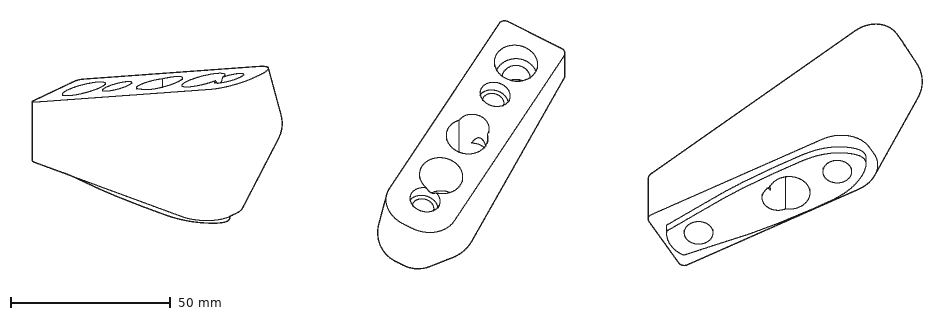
import cadquery as cq
import math

WIDTH = 23.0
SLOPE_ANGLE = 20.0
SLOPE_LENGTH = 90.0
END_LENGTH = 20.0
BASE_LENGTH = 74.6
BACK_HEIGHT = 20.0
NOSE_FILLET = 10.0
BACK_FILLET = 2.0

PLATE_HEIGHT = 3.0
PLATE_BACK_X = 2.45
PLATE_BACK_RADIUS = 10.0
PLATE_BACK_HALF_WIDTH = 5.5
PLATE_WIDE_X = 50.0
PLATE_HALF_WIDTH = 9.2
PLATE_TIP_X = 72.1

BOLT_XS = (12.5, 62.25)
BOLT_DIAMETER = 9.0
BOLT_HEAD_DIAMETER = 13.5
BOLT_SEAT_Z = 13.0

KEYHOLE_LOBES = ((41.0, 10.0), (45.0, 13.0))

SLOPE_HOLE_DISTANCES = (28.0, 77.6)
SLOPE_HOLE_DIAMETER = 6.8
SLOPE_HOLE_DEPTH = 25.0
SLOPE_BORE_DIAMETER = 9.5
SLOPE_BORE_DEPTH = 4.0

SIN = math.sin(math.radians(SLOPE_ANGLE))
COS = math.cos(math.radians(SLOPE_ANGLE))
SLOPE_START_Z = PLATE_HEIGHT + BACK_HEIGHT
PEAK_X = SLOPE_LENGTH * COS
PEAK_Z = SLOPE_START_Z + SLOPE_LENGTH * SIN
NOSE_X = PEAK_X + END_LENGTH * SIN
NOSE_Z = PEAK_Z - END_LENGTH * COS


def body():
    """Wedge with lightly rounded rear corners and a fully rounded nose."""
    wedge = (
        cq.Workplane("XZ", origin=(0, WIDTH / 2, 0))
        .moveTo(0, PLATE_HEIGHT)
        .lineTo(BASE_LENGTH, PLATE_HEIGHT)
        .lineTo(NOSE_X, NOSE_Z)
        .lineTo(PEAK_X, PEAK_Z)
        .lineTo(0, SLOPE_START_Z)
        .close()
        .extrude(WIDTH)
    )
    wedge = wedge.edges("|Z").fillet(BACK_FILLET)

    half = WIDTH / 2
    lower_mid = ((BASE_LENGTH + NOSE_X) / 2, (PLATE_HEIGHT + NOSE_Z) / 2)
    end_mid = ((PEAK_X + NOSE_X) / 2, (PEAK_Z + NOSE_Z) / 2)
    nose_points = [(NOSE_X, 0, NOSE_Z)]
    for x, z in (lower_mid, end_mid):
        nose_points += [(x, -half, z), (x, half, z)]
    nose_edges = cq.Workplane().newObject([])
    for point in nose_points:
        nose_edges = nose_edges.add(wedge.edges(cq.selectors.NearestToPointSelector(point)))
    rounded = wedge.val().fillet(NOSE_FILLET, nose_edges.vals())
    return cq.Workplane(rounded)


def plate():
    """Egg-shaped plate: arced back, then one smooth curve along the sides and around the tip."""
    sagitta = PLATE_BACK_RADIUS - math.sqrt(PLATE_BACK_RADIUS**2 - PLATE_BACK_HALF_WIDTH**2)
    corner_x = PLATE_BACK_X + sagitta
    back_half = PLATE_BACK_HALF_WIDTH
    tip_length = PLATE_TIP_X - PLATE_WIDE_X
    shoulder_fraction = 0.8
    shoulder_x = PLATE_WIDE_X + shoulder_fraction * tip_length
    shoulder_half = PLATE_HALF_WIDTH * math.sqrt(1 - shoulder_fraction**2)
    middle_x = (corner_x + PLATE_WIDE_X) / 2
    middle_half = PLATE_HALF_WIDTH - (PLATE_HALF_WIDTH - back_half) / 4
    outline = [
        (middle_x, middle_half),
        (PLATE_WIDE_X, PLATE_HALF_WIDTH),
        (shoulder_x, shoulder_half),
        (PLATE_TIP_X, 0),
        (shoulder_x, -shoulder_half),
        (PLATE_WIDE_X, -PLATE_HALF_WIDTH),
        (middle_x, -middle_half),
        (corner_x, -back_half),
    ]
    return (
        cq.Workplane("XY")
        .moveTo(corner_x, back_half)
        .spline(outline, includeCurrent=True)
        .threePointArc((PLATE_BACK_X, 0), (corner_x, back_half))
        .close()
        .extrude(PLATE_HEIGHT)
    )


def vertical_cylinder(x, diameter, bottom_z):
    """Upright cylinder on the centre plane, from bottom_z to the height of the peak."""
    return (
        cq.Workplane("XY", origin=(x, 0, bottom_z))
        .circle(diameter / 2)
        .extrude(PEAK_Z - bottom_z)
    )


def slope_cylinder(distance, diameter, depth):
    """Cylinder sunk square into the upper face at a distance along the slope."""
    slope_point = (distance * COS, 0, SLOPE_START_Z + distance * SIN)
    plane = cq.Plane(origin=slope_point, xDir=(COS, 0, SIN), normal=(-SIN, 0, COS))
    return cq.Workplane(plane).circle(diameter / 2).extrude(-depth)


result = body().union(plate())

for bolt_x in BOLT_XS:
    result = result.cut(vertical_cylinder(bolt_x, BOLT_DIAMETER, 0))
    result = result.cut(vertical_cylinder(bolt_x, BOLT_HEAD_DIAMETER, BOLT_SEAT_Z))

for lobe_x, lobe_diameter in KEYHOLE_LOBES:
    result = result.cut(vertical_cylinder(lobe_x, lobe_diameter, 0))

for hole_distance in SLOPE_HOLE_DISTANCES:
    result = result.cut(slope_cylinder(hole_distance, SLOPE_HOLE_DIAMETER, SLOPE_HOLE_DEPTH))
    result = result.cut(slope_cylinder(hole_distance, SLOPE_BORE_DIAMETER, SLOPE_BORE_DEPTH))